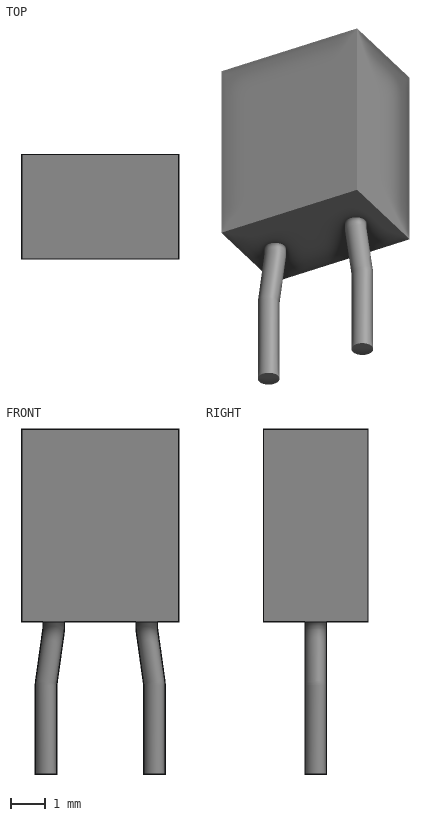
import cadquery as cq
import math

overall_height = 9.88
body_width = 4.5
body_depth = 3.0
body_height = 5.51

lead_diameter = 0.62
lead_top_offset = 1.33
lead_tip_offset = 1.55
bend_radius = 0.55
upper_bend_start = 0.19
lower_bend_end = 1.82

lead_length = overall_height - body_height
splay = lead_tip_offset - lead_top_offset
bend_span = lower_bend_end - upper_bend_start
line_length = math.sqrt(bend_span**2 + splay**2 - 4 * bend_radius * splay)
bend_angle = math.atan2(bend_span, 2 * bend_radius - splay) - math.atan2(line_length, 2 * bend_radius)


def make_body():
    """Rectangular block standing on the plane Z = 0."""
    return cq.Workplane("XY").box(body_width, body_depth, body_height, centered=(True, True, False))


def bend_point(angle):
    """Outward shift and drop after turning through an angle of one bend."""
    return bend_radius * (1 - math.cos(angle)), bend_radius * math.sin(angle)


def make_lead(side):
    """Bent lead hanging from the body; side is -1 or +1 along X."""
    def at(outward, drop):
        return side * (lead_top_offset + outward), -drop

    mid_out, mid_drop = bend_point(bend_angle / 2)
    end_out, end_drop = bend_point(bend_angle)
    centreline = (
        cq.Workplane("XZ")
        .moveTo(*at(0, 0))
        .lineTo(*at(0, upper_bend_start))
        .threePointArc(
            at(mid_out, upper_bend_start + mid_drop),
            at(end_out, upper_bend_start + end_drop),
        )
        .lineTo(*at(splay - end_out, lower_bend_end - end_drop))
        .threePointArc(
            at(splay - mid_out, lower_bend_end - mid_drop),
            at(splay, lower_bend_end),
        )
        .lineTo(*at(splay, lead_length))
    )
    return (
        cq.Workplane("XY")
        .center(side * lead_top_offset, 0)
        .circle(lead_diameter / 2)
        .sweep(centreline)
    )


body = make_body()
leads = [make_lead(side) for side in (-1, 1)]

result = cq.Compound.makeCompound([body.val(), *[lead.val() for lead in leads]])